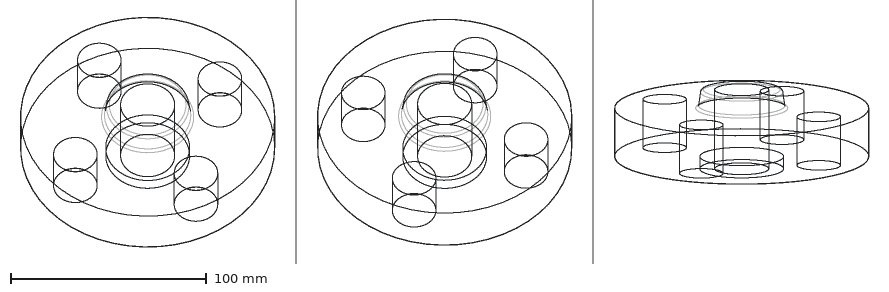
import cadquery as cq

plate_diameter = 130.0
plate_thickness = 25.4

face_diameter = 42.9
face_height = 6.4

hub_height = 9.6
hub_base_diameter = 44.5
hub_draft_angle = 8.0
hub_root_fillet = 1.5
hub_rim_fillet = 1.5

bore_diameter = 27.7
bolt_hole_diameter = 22.3
bolt_circle_diameter = 88.9
bolt_count = 4

plate_bottom = face_height
plate_top = plate_bottom + plate_thickness
hub_top = plate_top + hub_height


def make_plate():
    plate = cq.Workplane("XY").workplane(offset=plate_bottom)
    return plate.circle(plate_diameter / 2).extrude(plate_thickness)


def make_raised_face():
    return cq.Workplane("XY").circle(face_diameter / 2).extrude(face_height)


def make_hub():
    hub = cq.Workplane("XY").workplane(offset=plate_top)
    hub = hub.circle(hub_base_diameter / 2).extrude(hub_height, taper=hub_draft_angle)
    return hub.faces(">Z").edges().fillet(hub_rim_fillet)


def round_hub_root(body):
    """Fillet the circle where the hub meets the top of the plate."""
    reach = hub_base_diameter / 2 + hub_root_fillet
    margin = hub_root_fillet / 2
    root = cq.selectors.BoxSelector(
        (-reach, -reach, plate_top - margin),
        (reach, reach, plate_top + margin),
        boundingbox=True,
    )
    return body.edges(root).fillet(hub_root_fillet)


def cut_bore(body):
    bore = cq.Workplane("XY").circle(bore_diameter / 2).extrude(hub_top)
    return body.cut(bore)


def cut_bolt_holes(body):
    holes = (
        cq.Workplane("XY")
        .polarArray(bolt_circle_diameter / 2, 0, 360, bolt_count)
        .circle(bolt_hole_diameter / 2)
        .extrude(hub_top)
    )
    return body.cut(holes)


flange = make_plate().union(make_raised_face()).union(make_hub())
flange = round_hub_root(flange)
flange = cut_bore(flange)
result = cut_bolt_holes(flange)